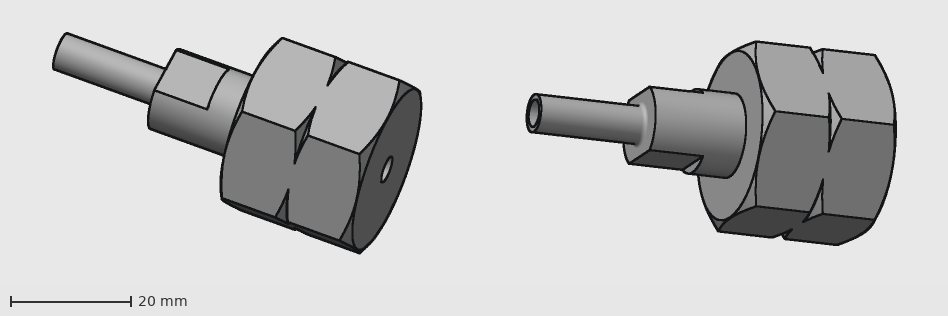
import cadquery as cq
import math


total_length = 59.4
body_start = 19.0
flats_end = 28.6
nut_start = 35.35
groove_position = 47.5

bore_diameter = 4.6
tube_diameter = 6.4
body_diameter = 14.2
flats_thickness = 11.0
root_fillet_radius = 0.7
hex_across_flats = 28.55
hex_across_corners = hex_across_flats / math.cos(math.pi / 6)

chamfer_circle_diameter = 28.4
groove_floor_diameter = 29.0
cone_angle = 30.0
cone_slope = math.tan(math.radians(cone_angle))
corner_clearance = 0.6


def rod(diameter, start, end):
    """Solid cylinder on the X axis between two positions."""
    return cq.Workplane("YZ").workplane(offset=start).circle(diameter / 2).extrude(end - start)


def make_stem():
    """Tube and body in one piece, with a fillet at the tube root."""
    tube = rod(tube_diameter, 0, body_start)
    body = rod(body_diameter, body_start, nut_start)
    shoulder = tube.union(body).faces("<X[1]")
    stem = shoulder.edges(cq.selectors.RadiusNthSelector(0)).fillet(root_fillet_radius)
    return stem.cut(make_wrench_flat_cuts())


def make_wrench_flat_cuts():
    """Two blocks that leave parallel flats facing up and down."""
    flat_length = flats_end - body_start
    block_height = body_diameter - flats_thickness
    block_center_x = (body_start + flats_end) / 2
    block_center_z = (flats_thickness + block_height) / 2
    block = cq.Workplane("XY").box(flat_length, body_diameter, block_height)
    upper = block.translate((block_center_x, 0, block_center_z))
    lower = block.translate((block_center_x, 0, -block_center_z))
    return upper.union(lower)


def make_nut():
    """Hex prism trimmed to a revolved outline with end chamfers and a V-groove."""
    nut_length = total_length - nut_start
    hexagon = (
        cq.Workplane("YZ")
        .workplane(offset=nut_start)
        .polygon(6, hex_across_corners)
        .extrude(nut_length)
    )
    outer_radius = hex_across_corners / 2 + corner_clearance
    end_radius = chamfer_circle_diameter / 2
    floor_radius = groove_floor_diameter / 2
    chamfer_run = (outer_radius - end_radius) * cone_slope
    groove_run = (outer_radius - floor_radius) * cone_slope
    envelope = (
        cq.Workplane("XY")
        .moveTo(nut_start, 0)
        .lineTo(nut_start, end_radius)
        .lineTo(nut_start + chamfer_run, outer_radius)
        .lineTo(groove_position - groove_run, outer_radius)
        .lineTo(groove_position, floor_radius)
        .lineTo(groove_position + groove_run, outer_radius)
        .lineTo(total_length - chamfer_run, outer_radius)
        .lineTo(total_length, end_radius)
        .lineTo(total_length, 0)
        .close()
        .revolve(360, (0, 0, 0), (1, 0, 0))
    )
    return hexagon.intersect(envelope)


bore = rod(bore_diameter, 0, total_length)
result = make_stem().union(make_nut()).cut(bore)